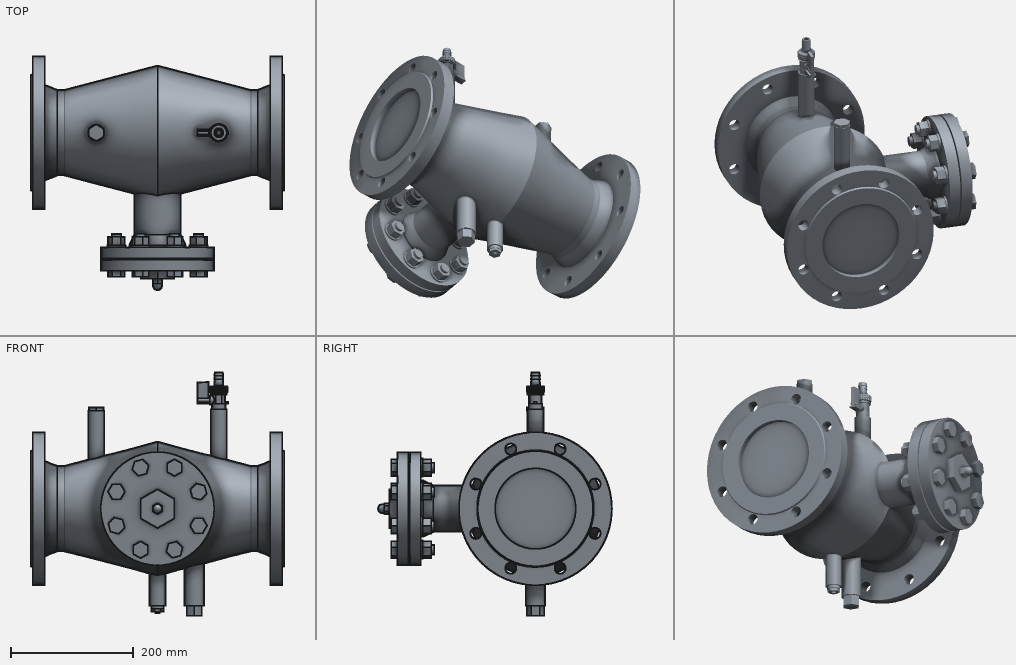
import cadquery as cq
import math

HALF_LENGTH = 207.0
RAISED_FACE_HEIGHT = 3.0
RAISED_FACE_DIA = 188.0
RAISED_FACE_BASE_DIA = 191.0
FLANGE_DIA = 250.0
FLANGE_THICKNESS = 20.0
HUB_DIA = 156.0
HUB_LENGTH = 20.5
PIPE_DIA = 139.7
PIPE_LENGTH = 11.5
BELLY_DIA = 219.1
BORE_DIA = 131.7
BORE_DEPTH = 10.0
FLANGE_HOLE_DIA = 18.0
FLANGE_BOLT_CIRCLE = 210.0
BOLT_COUNT = 8
BOLT_PITCH = 360.0 / BOLT_COUNT

NECK_DIA = 76.1
NECK_END = 166.5
NECK_HUB_DIA = 92.0
NECK_HUB_END = 183.5
COVER_DIA = 185.0
COVER_THICKNESS = 18.0
BRANCH_FLANGE_START = 187.0
BRANCH_FLANGE_END = BRANCH_FLANGE_START + COVER_THICKNESS
COVER_GAP = 2.5
COVER_GASKET_DIA = 122.0
COVER_START = BRANCH_FLANGE_END + COVER_GAP
COVER_END = COVER_START + COVER_THICKNESS
COVER_BOLT_CIRCLE = 145.0

BOLT_DIA = 16.0
BOLT_END = 165.0
BOLT_HEX = 24.0
HEAD_HEIGHT = 10.0
NUT_HEIGHT = 14.0
WASHER_DIA = 30.0
WASHER_THICKNESS = 3.0

COVER_HEX = 55.0
COVER_HEX_HEIGHT = 13.0
CAP_HEX = 15.5
CAP_HEX_HEIGHT = 8.0
CAP_DIA = 15.0
BRANCH_TIP = 257.0

STUB_DIA = 26.4
STUB_OFFSET = 100.0
CORNER_FORWARD = 90.0
PLUG_STUB_TOP = 160.0
PLUG_HEX = 24.0
PLUG_HEX_HEIGHT = 5.5
VALVE_STUB_TOP = 162.5
LOWER_STUB_BOTTOM = -158.5
DRAIN_OFFSET = 60.0
DRAIN_DIA = 32.0
DRAIN_HEX = 25.0
BODY_BOTTOM = -175.0
VENT_DIA = 21.0
VENT_COLLAR_HEIGHT = 5.0
VENT_HEX = 18.0
VENT_HEX_HEIGHT = 4.5
VENT_TIP_DIA = 7.0
VENT_TIP_HEIGHT = 2.5

OVERALL_HEIGHT = 397.41
VALVE_TOP = BODY_BOTTOM + OVERALL_HEIGHT
VALVE_BASE_DIA = 22.49
VALVE_BODY_BOTTOM = 171.5
VALVE_BODY_DIA = 21.0
VALVE_PAD_WIDTH = 9.2
RING_BOTTOM = 186.0
RING_DIA = 26.4
RING_HEIGHT = 1.0
COLLAR_BOTTOM = 189.5
COLLAR_TOP = 200.0
COLLAR_DIA = 29.0
COLLAR_ROOT_DIA = 27.0
COLLAR_RIB_HEIGHT = 1.5
COLLAR_CHAMFER = 1.5
KNURL_COUNT = 24
TAB_REACH = 15.2
TAB_WIDTH = 5.0
TAB_HEIGHT = 3.0
HOSE_DIA = 15.0
HOSE_ROOT_DIA = 13.0
HOSE_BORE_DIA = 9.0
HOSE_BORE_DEPTH = 20.0
BARB_COUNT = 3
BARB_PITCH = 5.6
HOSE_RING_HEIGHT = 4.0

LEVER_Z = 177.0
LEVER_END = 35.0
LEVER_BLADE_START = 16.5
LEVER_BLADE_THICKNESS = 5.0
LEVER_BLADE_TOP = 206.0
LEVER_BLADE_RISE = 1.0
LEVER_ROD_DIA = 8.0
LEVER_FOOT_WIDTH = 11.5
LEVER_FOOT_BOTTOM = 171.0
LEVER_FOOT_HEIGHT = 2.5
BONNET_DIA = 15.0
BONNET_END = 14.5


def corner_dia(across_flats):
    """Diameter through the corners of a hexagon."""
    return across_flats / math.cos(math.pi / 6)


def upright(dia, bottom, top, x=0.0):
    """Cylinder along Z."""
    return cq.Workplane("XY", origin=(x, 0, bottom)).circle(dia / 2).extrude(top - bottom)


def upright_hex(across_flats, bottom, top, x=0.0, turn=0.0):
    """Hexagonal prism along Z, turned about its own axis."""
    prism = cq.Workplane("XY").polygon(6, corner_dia(across_flats)).extrude(top - bottom)
    return prism.rotate((0, 0, 0), (0, 0, 1), turn).translate((x, 0, bottom))


def branch_disc(dia, start, end):
    """Cylinder along -Y between two distances from the body axis."""
    return cq.Workplane("XZ", origin=(0, -start, 0)).circle(dia / 2).extrude(end - start)


def branch_hex(across_flats, start, end):
    """Hexagonal prism along -Y with a corner pointing up."""
    prism = cq.Workplane("XZ", origin=(0, -start, 0)).polygon(6, corner_dia(across_flats))
    return prism.extrude(end - start).rotate((0, 0, 0), (0, 1, 0), 90)


def revolve_about_x(points):
    return cq.Workplane("XY").polyline(points).close().revolve(360, (0, 0, 0), (1, 0, 0))


def make_body():
    flange_face = HALF_LENGTH - RAISED_FACE_HEIGHT
    flange_back = flange_face - FLANGE_THICKNESS
    pipe_end = flange_back - HUB_LENGTH
    cone_end = pipe_end - PIPE_LENGTH
    half_profile = [
        (cone_end, PIPE_DIA / 2),
        (pipe_end, PIPE_DIA / 2),
        (flange_back, HUB_DIA / 2),
        (flange_back, FLANGE_DIA / 2),
        (flange_face, FLANGE_DIA / 2),
        (flange_face, RAISED_FACE_BASE_DIA / 2),
        (HALF_LENGTH, RAISED_FACE_DIA / 2),
        (HALF_LENGTH, 0),
    ]
    mirrored = [(-x, r) for x, r in reversed(half_profile)]
    body = revolve_about_x(mirrored + [(0, BELLY_DIA / 2)] + half_profile)

    bolt_holes = (
        cq.Workplane("YZ", origin=(-HALF_LENGTH, 0, 0))
        .polarArray(FLANGE_BOLT_CIRCLE / 2, BOLT_PITCH / 2, 360, BOLT_COUNT)
        .circle(FLANGE_HOLE_DIA / 2)
        .extrude(HALF_LENGTH - flange_back)
    )
    bore = cq.Workplane("YZ", origin=(-HALF_LENGTH, 0, 0)).circle(BORE_DIA / 2).extrude(BORE_DEPTH)
    end_cuts = bolt_holes.union(bore)
    return body.cut(end_cuts).cut(end_cuts.mirror("YZ"))


def make_cover_bolt():
    """Bolt with head, nut and washer, placed at the top of the bolt circle."""
    nut_end = BRANCH_FLANGE_START - WASHER_THICKNESS
    bolt = branch_disc(BOLT_DIA, BOLT_END, COVER_END)
    bolt = bolt.union(branch_hex(BOLT_HEX, nut_end - NUT_HEIGHT, nut_end))
    bolt = bolt.union(branch_disc(WASHER_DIA, nut_end, BRANCH_FLANGE_START))
    bolt = bolt.union(branch_hex(BOLT_HEX, COVER_END, COVER_END + HEAD_HEIGHT))
    bolt = bolt.rotate((0, 0, 0), (0, 1, 0), -BOLT_PITCH / 2)
    return bolt.translate((0, 0, COVER_BOLT_CIRCLE / 2))


def make_cap_nut(start):
    """Hexagon that turns into a round, hemispherical tip."""
    hex_end = start + CAP_HEX_HEIGHT
    radius = CAP_DIA / 2
    dome_start = BRANCH_TIP - radius
    arc_mid = (radius * math.sin(math.pi / 4), -dome_start - radius * math.cos(math.pi / 4))
    tip = (
        cq.Workplane("XY")
        .moveTo(0, -hex_end)
        .lineTo(radius, -hex_end)
        .lineTo(radius, -dome_start)
        .threePointArc(arc_mid, (0, -BRANCH_TIP))
        .close()
        .revolve(360, (0, 0, 0), (0, 1, 0))
    )
    return branch_hex(CAP_HEX, start, hex_end).union(tip)


def make_branch():
    hub_profile = [
        (0, 0),
        (NECK_DIA / 2, 0),
        (NECK_DIA / 2, -NECK_END),
        (NECK_HUB_DIA / 2, -NECK_HUB_END),
        (NECK_HUB_DIA / 2, -BRANCH_FLANGE_START),
        (0, -BRANCH_FLANGE_START),
    ]
    branch = cq.Workplane("XY").polyline(hub_profile).close().revolve(360, (0, 0, 0), (0, 1, 0))
    branch = branch.union(branch_disc(COVER_DIA, BRANCH_FLANGE_START, BRANCH_FLANGE_END))
    branch = branch.union(branch_disc(COVER_GASKET_DIA, BRANCH_FLANGE_END, COVER_START))
    branch = branch.union(branch_disc(COVER_DIA, COVER_START, COVER_END))

    bolt = make_cover_bolt()
    for index in range(BOLT_COUNT):
        angle = (index + 0.5) * BOLT_PITCH
        branch = branch.union(bolt.rotate((0, 0, 0), (0, 1, 0), angle))

    hex_end = COVER_END + COVER_HEX_HEIGHT
    branch = branch.union(branch_hex(COVER_HEX, COVER_END, hex_end))
    return branch.union(make_cap_nut(hex_end))


def make_plug_stub():
    hex_top = PLUG_STUB_TOP + PLUG_HEX_HEIGHT
    stub = upright(STUB_DIA, 0, PLUG_STUB_TOP, -STUB_OFFSET)
    return stub.union(upright_hex(PLUG_HEX, PLUG_STUB_TOP, hex_top, -STUB_OFFSET, CORNER_FORWARD))


def make_vent_stub():
    collar_bottom = LOWER_STUB_BOTTOM - VENT_COLLAR_HEIGHT
    hex_bottom = collar_bottom - VENT_HEX_HEIGHT
    stub = upright(STUB_DIA, LOWER_STUB_BOTTOM, 0)
    stub = stub.union(upright(VENT_DIA, collar_bottom, LOWER_STUB_BOTTOM))
    stub = stub.union(upright_hex(VENT_HEX, hex_bottom, collar_bottom))
    return stub.union(upright(VENT_TIP_DIA, hex_bottom - VENT_TIP_HEIGHT, hex_bottom))


def make_drain_stub():
    stub = upright(DRAIN_DIA, LOWER_STUB_BOTTOM, 0, DRAIN_OFFSET)
    return stub.union(upright_hex(DRAIN_HEX, BODY_BOTTOM, LOWER_STUB_BOTTOM, DRAIN_OFFSET, CORNER_FORWARD))


def make_knurled_collar():
    """Toothed ring with a plain rib around its middle."""
    points = []
    for index in range(2 * KNURL_COUNT):
        radius = (COLLAR_DIA if index % 2 == 0 else COLLAR_ROOT_DIA) / 2
        angle = index * math.pi / KNURL_COUNT
        points.append((radius * math.cos(angle), radius * math.sin(angle)))
    height = COLLAR_TOP - COLLAR_BOTTOM
    collar = cq.Workplane("XY", origin=(0, 0, COLLAR_BOTTOM)).polyline(points).close().extrude(height)
    rib_bottom = (COLLAR_TOP + COLLAR_BOTTOM - COLLAR_RIB_HEIGHT) / 2
    collar = collar.union(upright(COLLAR_DIA, rib_bottom, rib_bottom + COLLAR_RIB_HEIGHT))
    envelope = upright(COLLAR_DIA, COLLAR_BOTTOM, COLLAR_TOP).edges().chamfer(COLLAR_CHAMFER)
    return collar.intersect(envelope)


def make_hose_tail():
    """Bored tail with barbs that widen downward above a plain ring."""
    outer = HOSE_DIA / 2
    root = HOSE_ROOT_DIA / 2
    points = [(0, VALVE_TOP)]
    for index in range(BARB_COUNT):
        barb_top = VALVE_TOP - index * BARB_PITCH
        points += [(root, barb_top), (outer, barb_top - BARB_PITCH)]
    ring_top = VALVE_TOP - BARB_COUNT * BARB_PITCH
    ring_bottom = ring_top - HOSE_RING_HEIGHT
    points += [(outer, ring_bottom), (root, ring_bottom), (root, COLLAR_TOP), (0, COLLAR_TOP)]
    tail = cq.Workplane("XZ").polyline(points).close().revolve(360, (0, 0, 0), (0, 1, 0))
    return tail.cut(upright(HOSE_BORE_DIA, VALVE_TOP - HOSE_BORE_DEPTH, VALVE_TOP))


def along_minus_x(dia, length):
    """Cylinder from the valve axis along -X at the height of the lever."""
    return cq.Workplane("YZ", origin=(-length, 0, LEVER_Z)).circle(dia / 2).extrude(length)


def make_lever():
    """Bonnet and rod along -X, with an upright blade and a flat foot."""
    lever = along_minus_x(BONNET_DIA, BONNET_END).union(along_minus_x(LEVER_ROD_DIA, LEVER_END))
    blade_outline = [
        (-LEVER_END, LEVER_Z),
        (-LEVER_END, LEVER_BLADE_TOP),
        (-LEVER_BLADE_START, LEVER_BLADE_TOP + LEVER_BLADE_RISE),
        (-LEVER_BLADE_START, LEVER_Z),
    ]
    blade = cq.Workplane("XZ").polyline(blade_outline).close().extrude(LEVER_BLADE_THICKNESS / 2, both=True)
    foot = cq.Workplane("XY").box(
        LEVER_END - BONNET_END, LEVER_FOOT_WIDTH, LEVER_FOOT_HEIGHT, centered=(False, True, False)
    )
    foot = foot.translate((-LEVER_END, 0, LEVER_FOOT_BOTTOM))
    return lever.union(blade).union(foot)


def make_valve_stub():
    valve = upright(STUB_DIA, 0, VALVE_STUB_TOP)
    valve = valve.union(upright(VALVE_BASE_DIA, VALVE_STUB_TOP, VALVE_BODY_BOTTOM))
    valve = valve.union(upright(VALVE_BODY_DIA, VALVE_BODY_BOTTOM, RING_BOTTOM))
    pad_height = RING_BOTTOM - VALVE_BODY_BOTTOM
    pads = cq.Workplane("XY").box(
        VALVE_PAD_WIDTH, VALVE_BODY_DIA, pad_height, centered=(True, True, False)
    )
    valve = valve.union(pads.translate((0, 0, VALVE_BODY_BOTTOM)))
    valve = valve.union(upright(RING_DIA, RING_BOTTOM, RING_BOTTOM + RING_HEIGHT))
    valve = valve.union(upright(VALVE_BASE_DIA, RING_BOTTOM, COLLAR_BOTTOM))
    tab = cq.Workplane("XY").box(TAB_REACH, TAB_WIDTH, TAB_HEIGHT, centered=(False, True, False))
    valve = valve.union(tab.translate((0, 0, VALVE_BODY_BOTTOM)))
    valve = valve.union(make_knurled_collar()).union(make_hose_tail()).union(make_lever())
    return valve.translate((STUB_OFFSET, 0, 0))


result = make_body()
for attachment in (
    make_branch(),
    make_plug_stub(),
    make_valve_stub(),
    make_vent_stub(),
    make_drain_stub(),
):
    result = result.union(attachment)